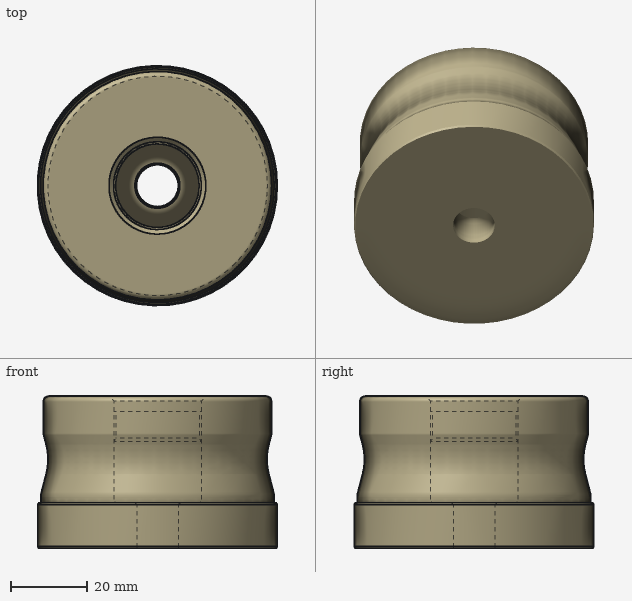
import cadquery as cq
import math

TOTAL_HEIGHT = 40.0

FLANGE_RADIUS = 31.5
FLANGE_HEIGHT = 12.0
FLANGE_CHAMFER_WIDTH = 0.3
FLANGE_CHAMFER_HEIGHT = 0.5

COLLAR_RADIUS = 30.7
HEAD_RADIUS = 30.0
HEAD_TOP_ROUND = 1.5
WAIST_RADIUS = 28.8
WAIST_Z = 23.4
WAIST_ARC_RADIUS = 15.6
FLANK_ANGLE = math.radians(14.5)
COLLAR_BLEND_RADIUS = 4.85
HEAD_BLEND_RADIUS = 1.6

WAIST_END_RADIUS = WAIST_RADIUS + WAIST_ARC_RADIUS * (1 - math.cos(FLANK_ANGLE))
WAIST_END_RISE = WAIST_ARC_RADIUS * math.sin(FLANK_ANGLE)

BORE_RADIUS = 11.5
BORE_MOUTH_CHAMFER = 1.2
BORE_FLOOR_Z = FLANGE_HEIGHT
BORE_FLOOR_ROUND = 0.8
SCREW_HOLE_RADIUS = 5.5
SCREW_HOLE_CHAMFER = 0.45

SLEEVE_INNER_RADIUS = 10.95
SLEEVE_LENGTH = 7.9
SLEEVE_DEPTH = 4.0
SLEEVE_CHAMFER_WIDTH = 0.45
SLEEVE_CHAMFER_HEIGHT = 0.9


def blend_points(corner_radius, side, blend_radius):
    """Start, middle and end (radius, Z) of the arc that joins a waist flank to a cylinder.

    side is -1 for the flank below the waist and +1 for the flank above it.
    The start lies on the flank, the end on the cylinder of corner_radius.
    The convex arc is tangent to both.
    """
    corner_rise = WAIST_END_RISE + (corner_radius - WAIST_END_RADIUS) / math.tan(FLANK_ANGLE)
    centre_radius = corner_radius - blend_radius
    centre_rise = corner_rise + blend_radius * math.tan(FLANK_ANGLE / 2)

    def point_at(angle):
        rise = centre_rise - blend_radius * math.sin(angle)
        return centre_radius + blend_radius * math.cos(angle), WAIST_Z + side * rise

    return point_at(FLANK_ANGLE), point_at(FLANK_ANGLE / 2), point_at(0)


def make_outer_body():
    """Solid turned shape: flange, collar, waist groove and head."""
    flange_face_radius = FLANGE_RADIUS - FLANGE_CHAMFER_WIDTH
    collar_flank, collar_middle, collar_end = blend_points(COLLAR_RADIUS, -1, COLLAR_BLEND_RADIUS)
    head_flank, head_middle, head_end = blend_points(HEAD_RADIUS, 1, HEAD_BLEND_RADIUS)

    return (
        cq.Workplane("XZ")
        .lineTo(flange_face_radius, 0)
        .lineTo(FLANGE_RADIUS, FLANGE_CHAMFER_HEIGHT)
        .lineTo(FLANGE_RADIUS, FLANGE_HEIGHT - FLANGE_CHAMFER_HEIGHT)
        .lineTo(flange_face_radius, FLANGE_HEIGHT)
        .lineTo(COLLAR_RADIUS, FLANGE_HEIGHT)
        .lineTo(*collar_end)
        .threePointArc(collar_middle, collar_flank)
        .lineTo(WAIST_END_RADIUS, WAIST_Z - WAIST_END_RISE)
        .threePointArc((WAIST_RADIUS, WAIST_Z), (WAIST_END_RADIUS, WAIST_Z + WAIST_END_RISE))
        .lineTo(*head_flank)
        .threePointArc(head_middle, head_end)
        .lineTo(HEAD_RADIUS, TOTAL_HEIGHT)
        .lineTo(0, TOTAL_HEIGHT)
        .close()
        .revolve(360, (0, 0, 0), (0, 1, 0))
        .faces(">Z")
        .edges()
        .fillet(HEAD_TOP_ROUND)
    )


def make_bore():
    """Cutter for the blind bore: chamfered mouth and rounded floor corner."""
    bore = (
        cq.Workplane("XY", origin=(0, 0, BORE_FLOOR_Z))
        .circle(BORE_RADIUS)
        .extrude(TOTAL_HEIGHT - BORE_FLOOR_Z)
        .faces("<Z")
        .edges()
        .fillet(BORE_FLOOR_ROUND)
    )
    mouth = cq.Workplane(
        cq.Solid.makeCone(
            BORE_RADIUS,
            BORE_RADIUS + BORE_MOUTH_CHAMFER,
            BORE_MOUTH_CHAMFER,
            pnt=cq.Vector(0, 0, TOTAL_HEIGHT - BORE_MOUTH_CHAMFER),
        )
    )
    return bore.union(mouth)


def make_screw_hole():
    """Cutter for the through hole with a chamfer at the bore floor."""
    hole = cq.Workplane("XY").circle(SCREW_HOLE_RADIUS).extrude(BORE_FLOOR_Z)
    chamfer = cq.Workplane(
        cq.Solid.makeCone(
            SCREW_HOLE_RADIUS,
            SCREW_HOLE_RADIUS + SCREW_HOLE_CHAMFER,
            SCREW_HOLE_CHAMFER,
            pnt=cq.Vector(0, 0, BORE_FLOOR_Z - SCREW_HOLE_CHAMFER),
        )
    )
    return hole.union(chamfer)


def make_housing():
    return make_outer_body().cut(make_bore()).cut(make_screw_hole())


def make_sleeve():
    """Thin ring seated in the bore, chamfered inside at its lower end."""
    return (
        cq.Workplane("XY", origin=(0, 0, TOTAL_HEIGHT - SLEEVE_DEPTH - SLEEVE_LENGTH))
        .circle(BORE_RADIUS)
        .circle(SLEEVE_INNER_RADIUS)
        .extrude(SLEEVE_LENGTH)
        .faces("<Z")
        .edges(cq.selectors.RadiusNthSelector(0))
        .chamfer(SLEEVE_CHAMFER_HEIGHT, SLEEVE_CHAMFER_WIDTH)
    )


housing = make_housing()
sleeve = make_sleeve()

result = cq.Compound.makeCompound([housing.val(), sleeve.val()])